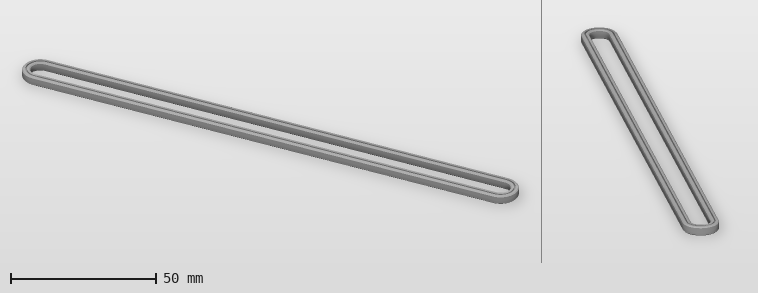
import cadquery as cq

LENGTH = 187.5
WIDTH = 12.5
HEIGHT = 3.2
BAND = 2.8

RIM_CHAMFER = 0.34

GROOVE_WIDTH = 0.5
GROOVE_DEPTH = 0.5


def loop(inset, thickness, height):
    """Round-ended loop whose outer wall lies inset from the outside of the part, standing on Z = 0."""
    inner_inset = inset + thickness
    outer = cq.Workplane("XY").slot2D(LENGTH - 2 * inset, WIDTH - 2 * inset).extrude(height)
    inner = cq.Workplane("XY").slot2D(LENGTH - 2 * inner_inset, WIDTH - 2 * inner_inset).extrude(height)
    return outer.cut(inner)


def chamfered_band():
    """Main band with its top and bottom rims chamfered."""
    return loop(0, BAND, HEIGHT).faces(">Z or <Z").chamfer(RIM_CHAMFER)


def top_groove():
    """Cutter for the groove centred on the top of the band."""
    inset = (BAND - GROOVE_WIDTH) / 2
    return loop(inset, GROOVE_WIDTH, GROOVE_DEPTH).translate((0, 0, HEIGHT - GROOVE_DEPTH))


result = chamfered_band().cut(top_groove())